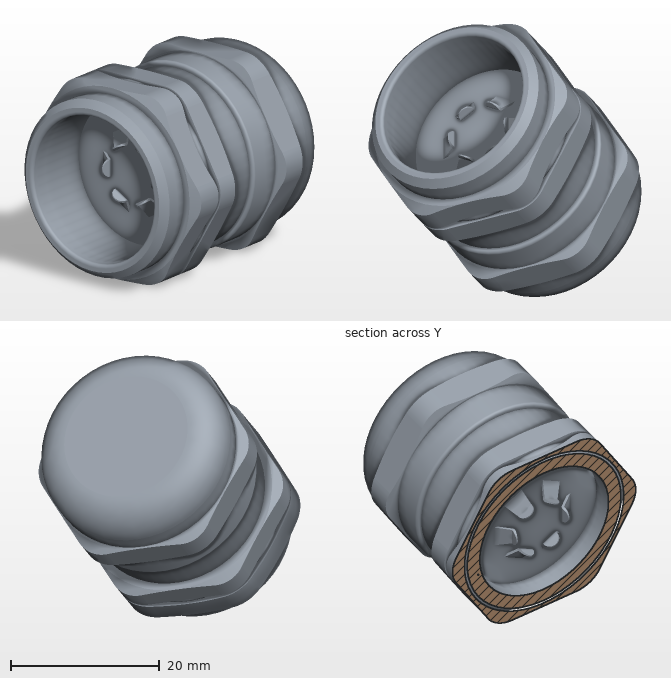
import cadquery as cq
import math

TOTAL_LENGTH = 34.08

BODY_DIAMETER = 25.0
ENTRY_CHAMFER = 1.0
BORE_DIAMETER = 20.8
BORE_LIP_ROUND = 0.5
BORE_DEPTH = 10.0

HEX_ACROSS_FLATS = 27.0
HEX_CORNER_RADIUS = 4.5
HEX_APOTHEM = HEX_ACROSS_FLATS / 2
HEX_SHARP_REACH = HEX_APOTHEM / math.cos(math.pi / 6)
HEX_CORNER_REACH = HEX_SHARP_REACH - HEX_CORNER_RADIUS * (1 / math.cos(math.pi / 6) - 1)
CORNER_RISE = HEX_CORNER_REACH - HEX_APOTHEM
LOCKNUT_START = 4.0
LOCKNUT_END = 8.9
LOCKNUT_BEVEL = 0.8
FLANGE_START = 9.0
FLANGE_END = 12.6
CAP_HEX_START = 22.6
CAP_HEX_END = 27.08
HEX_BEVEL = 0.5

DISH_FLAT_Y = 7.56
DISH_CORNER_Y = 8.53
CUT_MARGIN = 1.0
SEAL_SECTION_RADIUS = 1.0
SEAL_RING_RADIUS = 12.4
SEAL_CENTER_Y = 8.4

CAP_DIAMETER = 26.5
CAP_START = 18.1
CAP_EDGE_ROUND = 0.4
CAP_DOME_RADIUS = 4.5
CAP_OVERLAP = 1.0

FINGER_COUNT = 6
FLAP_THICKNESS = 0.36
FLAP_ANGLE = math.radians(35.7)
FLAP_BASE_RADIUS = 6.2
FLAP_BASE_WIDTH = 3.2
TAB_FRONT_RADIUS = 3.73
TAB_FRONT_LEAN = math.radians(16)
TAB_BACK_LEAN = math.radians(3)
TAB_BACK_RADIUS = 4.22
TAB_WIDTH = 2.4
BEND_RADIUS = 0.65
FINGER_ROOT = 0.3


def cylinder(diameter, start, end):
    """Solid cylinder on the Y axis between two Y positions."""
    return cq.Workplane("XZ", origin=(0, start, 0)).circle(diameter / 2).extrude(start - end)


def revolve_profile(points):
    """Solid of revolution about Y from (radius, y) points."""
    return cq.Workplane("XY").polyline(points).close().revolve(360, (0, 0, 0), (0, 1, 0))


def hex_prism(start, end):
    """Hexagonal prism with rounded corners, corners pointing along X."""
    prism = cq.Workplane("XZ", origin=(0, start, 0)).polygon(6, 2 * HEX_SHARP_REACH)
    return prism.extrude(start - end).edges("|Y").fillet(HEX_CORNER_RADIUS)


def bevelled_hex(start, end, start_bevel, end_bevel):
    """Hexagonal prism whose corners are turned back by the given depths at each end."""
    turned = revolve_profile([
        (0, start),
        (HEX_APOTHEM, start),
        (HEX_CORNER_REACH, start + start_bevel),
        (HEX_CORNER_REACH, end - end_bevel),
        (HEX_APOTHEM, end),
        (0, end),
    ])
    return hex_prism(start, end).intersect(turned)


def locknut():
    """Locknut with a conical hollow in the face toward the flange."""
    slope = (DISH_CORNER_Y - DISH_FLAT_Y) / CORNER_RISE
    outer_radius = HEX_CORNER_REACH + CUT_MARGIN
    outer_y = DISH_FLAT_Y + slope * (outer_radius - HEX_APOTHEM)
    inner_radius = BODY_DIAMETER / 2 - CUT_MARGIN
    inner_y = DISH_FLAT_Y + slope * (inner_radius - HEX_APOTHEM)
    dish = revolve_profile([
        (0, inner_y),
        (inner_radius, inner_y),
        (outer_radius, outer_y),
        (0, outer_y),
    ])
    return bevelled_hex(LOCKNUT_START, LOCKNUT_END, LOCKNUT_BEVEL, 0).cut(dish)


def seal():
    """Exposed half of an O-ring wrapped around the body and pressed against the flange."""
    section = (
        cq.Workplane("XY")
        .moveTo(SEAL_RING_RADIUS, SEAL_CENTER_Y - SEAL_SECTION_RADIUS)
        .threePointArc(
            (SEAL_RING_RADIUS + SEAL_SECTION_RADIUS, SEAL_CENTER_Y),
            (SEAL_RING_RADIUS, SEAL_CENTER_Y + SEAL_SECTION_RADIUS),
        )
        .close()
    )
    return section.revolve(360, (0, 0, 0), (0, 1, 0))


def cap():
    """Domed cap with its own hexagon."""
    shell = cylinder(CAP_DIAMETER, CAP_START, TOTAL_LENGTH)
    shell = shell.faces(">Y").edges().fillet(CAP_DOME_RADIUS)
    shell = shell.faces("<Y").edges().fillet(CAP_EDGE_ROUND)
    return shell.union(bevelled_hex(CAP_HEX_START, CAP_HEX_END, HEX_BEVEL, HEX_BEVEL))


def body():
    """Threaded barrel with the hexagonal flange."""
    barrel = cylinder(BODY_DIAMETER, 0, CAP_START + CAP_OVERLAP)
    barrel = barrel.faces("<Y").edges().chamfer(ENTRY_CHAMFER)
    return barrel.union(bevelled_hex(FLANGE_START, FLANGE_END, 0, HEX_BEVEL))


def bore():
    """Blind bore whose mouth flares out over a quarter-round lip."""
    radius = BORE_DIAMETER / 2
    lip_center = (radius + BORE_LIP_ROUND, BORE_LIP_ROUND)
    lip_reach = BORE_LIP_ROUND * math.sqrt(0.5)
    profile = (
        cq.Workplane("XY")
        .moveTo(0, 0)
        .lineTo(radius + BORE_LIP_ROUND, 0)
        .threePointArc((lip_center[0] - lip_reach, lip_center[1] - lip_reach), (radius, BORE_LIP_ROUND))
        .lineTo(radius, BORE_DEPTH)
        .lineTo(0, BORE_DEPTH)
        .close()
    )
    return profile.revolve(360, (0, 0, 0), (0, 1, 0))


def finger():
    """One finger on the +X side, leaning from the bore floor toward the axis."""
    flap_slope = math.tan(FLAP_ANGLE)
    flap_inset = FLAP_THICKNESS / math.sin(FLAP_ANGLE)
    tab_y = BORE_DEPTH - (FLAP_BASE_RADIUS - TAB_BACK_RADIUS) * flap_slope
    tab_top = tab_y - TAB_WIDTH / 2
    heel_y = BORE_DEPTH - (FLAP_BASE_RADIUS - flap_inset - TAB_FRONT_RADIUS) * flap_slope
    heel = (TAB_FRONT_RADIUS, heel_y)
    front_shift = (heel_y - tab_top) * math.tan(TAB_FRONT_LEAN)
    back_shift = (tab_y - tab_top) * math.tan(TAB_BACK_LEAN)
    root_y = BORE_DEPTH + FINGER_ROOT

    side = (
        cq.Workplane("XY")
        .polyline([
            (FLAP_BASE_RADIUS, root_y),
            (FLAP_BASE_RADIUS, BORE_DEPTH),
            (TAB_BACK_RADIUS, tab_y),
            (TAB_BACK_RADIUS + back_shift, tab_top),
            (TAB_FRONT_RADIUS + front_shift, tab_top),
            heel,
            (FLAP_BASE_RADIUS - flap_inset, BORE_DEPTH),
            (FLAP_BASE_RADIUS - flap_inset, root_y),
        ])
        .close()
        .extrude(FLAP_BASE_WIDTH, both=True)
    )
    side = side.edges(cq.selectors.NearestToPointSelector((*heel, 0))).fillet(BEND_RADIUS)

    plan = (
        cq.Workplane("XZ")
        .polyline([
            (0, -TAB_WIDTH / 2),
            (TAB_BACK_RADIUS, -TAB_WIDTH / 2),
            (FLAP_BASE_RADIUS, -FLAP_BASE_WIDTH / 2),
            (FLAP_BASE_RADIUS, FLAP_BASE_WIDTH / 2),
            (TAB_BACK_RADIUS, TAB_WIDTH / 2),
            (0, TAB_WIDTH / 2),
        ])
        .close()
        .extrude(-root_y)
    )
    rounded_top = cq.Workplane("YZ").center(tab_y, 0).circle(TAB_WIDTH / 2).extrude(FLAP_BASE_RADIUS)
    below_top = (
        cq.Workplane("XZ", origin=(0, tab_y, 0))
        .rect(2 * FLAP_BASE_RADIUS, FLAP_BASE_WIDTH)
        .extrude(tab_y - root_y)
    )
    return side.intersect(plan).intersect(rounded_top.union(below_top))


result = body().union(locknut()).union(seal()).union(cap()).cut(bore())
for index in range(FINGER_COUNT):
    result = result.union(finger().rotate((0, 0, 0), (0, 1, 0), index * 360 / FINGER_COUNT))